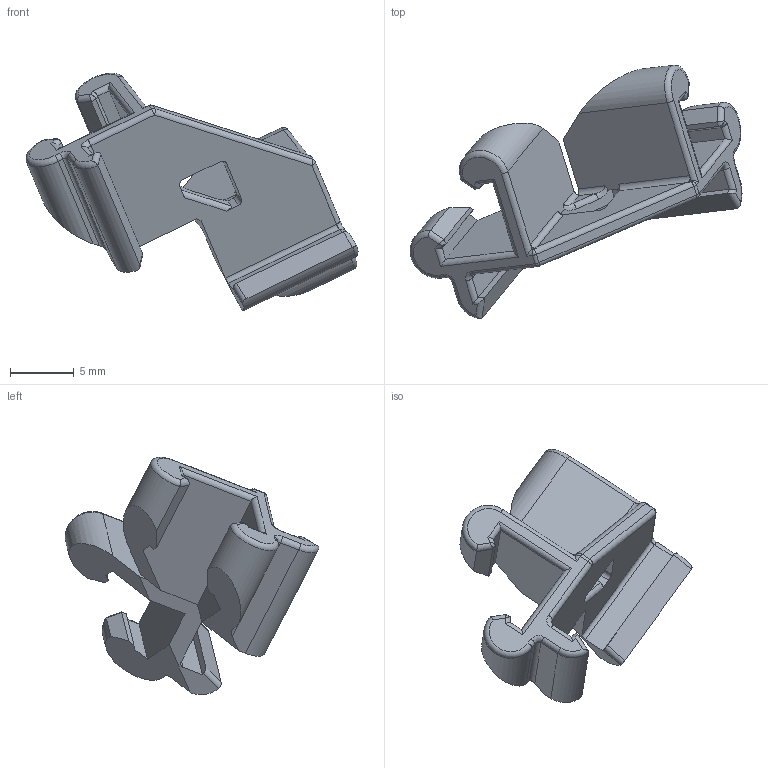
import cadquery as cq
import math


wall = 1.52
rail_side = 6.0
rail_length = 10.11
wall_offset = 0.28
inner_corner = wall_offset + wall
edge_radius = 0.4

hook_radius = 2.06
hook_reach = 6.76
lip = 0.38
lip_start = 1.0
lip_undercut = 0.27
lip_land = 0.41

front_inner = 4.25
front_outer = 6.0
front_radius = 1.94
front_bend = -3.45
front_step = -3.55
front_tip = (3.7, -3.64)
front_lip_end_s = 4.47
root_radius = 0.35

window_side = 3.59
window_end = -0.5
window_diagonal = 2.18
window_corner_radius = 0.4

slope_normal = (-1.0, -1.06, -0.99)
slope_distance = 2.82

rail_direction = (0.89519, 0.10683, 0.43270)
front_direction = (0.27492, -0.89623, -0.34815)

big = 4 * rail_length
mirror_normal = cq.Vector(1, -1, 0)


def with_mirror_image(shape):
    return shape.union(shape.mirror(mirror_normal))


def swapped(point):
    return (point[1], point[0])


def section_plane():
    """Section plane at the inner end of the Y rail: s runs along -X, t along -Z."""
    return cq.Plane(origin=(-inner_corner, 0, 0), xDir=(-1, 0, 0), normal=(0, -1, 0))


def rail_clip():
    """Plate strip and wall around the rail, both ending in a hook with a snap lip."""
    centre = (hook_reach, hook_radius - wall)
    step = (rail_side, lip_start)
    tip_s = rail_side - lip
    land_start = (tip_s, lip_start + lip_undercut)
    land_end = (tip_s, land_start[1] + lip_land)
    ds = land_end[0] - centre[0]
    dt = land_end[1] - centre[1]
    rise = math.sqrt(hook_radius**2 / 2 - (ds - dt) ** 2 / 4) - (ds + dt) / 2
    arc_end = (land_end[0] + rise, land_end[1] + rise)
    arc_middle = (centre[0] + hook_radius, centre[1])
    return (
        cq.Workplane(section_plane())
        .moveTo(-wall, -wall)
        .lineTo(hook_reach, -wall)
        .threePointArc(arc_middle, arc_end)
        .lineTo(*land_end)
        .lineTo(*land_start)
        .lineTo(*step)
        .lineTo(rail_side, 0)
        .lineTo(0, 0)
        .lineTo(0, rail_side)
        .lineTo(*swapped(step))
        .lineTo(*swapped(land_start))
        .lineTo(*swapped(land_end))
        .lineTo(*swapped(arc_end))
        .threePointArc(swapped(arc_middle), (-wall, hook_reach))
        .close()
        .extrude(-rail_length)
    )


def front_hook():
    """Hook on the plate's front face, with rounded roots and a rounded inner lip edge."""
    centre = (front_outer - front_radius, front_bend)
    ds = front_lip_end_s - centre[0]
    lip_end = (front_lip_end_s, front_bend - math.sqrt(front_radius**2 - ds**2))
    diagonal = front_radius / math.sqrt(2)
    arc_middle = (centre[0] + diagonal, centre[1] - diagonal)
    embedded = -wall / 2
    root_end = -wall - root_radius
    hook = (
        cq.Workplane(section_plane())
        .moveTo(front_inner - root_radius, embedded)
        .lineTo(front_inner - root_radius, -wall)
        .radiusArc((front_inner, root_end), root_radius)
        .lineTo(front_inner, front_step)
        .lineTo(*front_tip)
        .lineTo(*lip_end)
        .threePointArc(arc_middle, (front_outer, front_bend))
        .lineTo(front_outer, root_end)
        .radiusArc((front_outer + root_radius, -wall), root_radius)
        .lineTo(front_outer + root_radius, embedded)
        .close()
        .extrude(-rail_length)
    )
    lip_middle = ((front_tip[0] + lip_end[0]) / 2, (front_tip[1] + lip_end[1]) / 2)
    inner_lip_edge = section_plane().toWorldCoords(lip_middle).toTuple()
    return hook.edges(cq.NearestToPointSelector(inner_lip_edge)).fillet(edge_radius)


def gusset():
    """Plate between the two walls, closed by the diagonal outer edge."""
    return (
        cq.Workplane("XY")
        .polyline([(0, -wall_offset), (rail_length, -wall_offset), (rail_length, 0),
                   (0, rail_length), (-wall_offset, rail_length), (-wall_offset, 0)])
        .close()
        .extrude(wall)
    )


def round_outer_edges(body):
    """Round the outer ends of both clips and the two diagonal edges of the gusset."""
    end_edges = body.faces(">X or >Y").edges()
    diagonal_edges = body.edges(cq.ParallelDirSelector(mirror_normal)).edges(">(1, 1, 0)")
    return body.newObject(end_edges.vals() + diagonal_edges.vals()).fillet(edge_radius)


def wall_root():
    """Concave rounding between the outer side of the Y rail's wall and the gusset's back."""
    return (
        cq.Workplane("XZ")
        .moveTo(-wall_offset, 0)
        .lineTo(edge_radius - wall_offset, 0)
        .radiusArc((-wall_offset, -edge_radius), -edge_radius)
        .close()
        .extrude(edge_radius - rail_length)
    )


def window(bottom):
    """Window prism from z = bottom to the plate's front face."""
    long_end = window_diagonal - window_end
    return (
        cq.Workplane("XY").workplane(offset=bottom)
        .polyline([(window_side, window_side), (window_end, window_side), (window_end, long_end),
                   (long_end, window_end), (window_side, window_end)])
        .close()
        .extrude(wall - bottom)
        .edges("|Z").edges(">X or >Y")
        .fillet(window_corner_radius)
    )


def cut_window(body):
    """Open the plate and the wall roots, leave the walls whole, round the diagonal rim."""
    between_walls = (
        cq.Workplane("XY")
        .box(big, big, big, centered=False)
        .translate((-wall_offset, -wall_offset, -wall))
    )
    body = body.cut(window(0)).cut(window(-wall).intersect(between_walls))
    middle = window_diagonal / 2
    low = (middle - edge_radius, middle - edge_radius, -wall)
    high = (middle + edge_radius, middle + edge_radius, 2 * wall)
    return body.edges(cq.selectors.BoxSelector(low, high)).fillet(edge_radius)


def sloping_cut():
    normal = cq.Vector(*slope_normal).normalized()
    plane = cq.Plane(origin=normal * slope_distance, normal=normal)
    return cq.Workplane(plane).rect(big, big).extrude(big)


body = with_mirror_image(rail_clip().union(front_hook())).union(gusset())
body = round_outer_edges(body)
body = body.union(with_mirror_image(wall_root()))
body = cut_window(body)
body = body.cut(sloping_cut())

seat = cq.Plane(
    origin=(0, 0, 0), xDir=cq.Vector(*rail_direction), normal=cq.Vector(*front_direction)
)
result = cq.Workplane(obj=body.val().located(cq.Location(seat)))